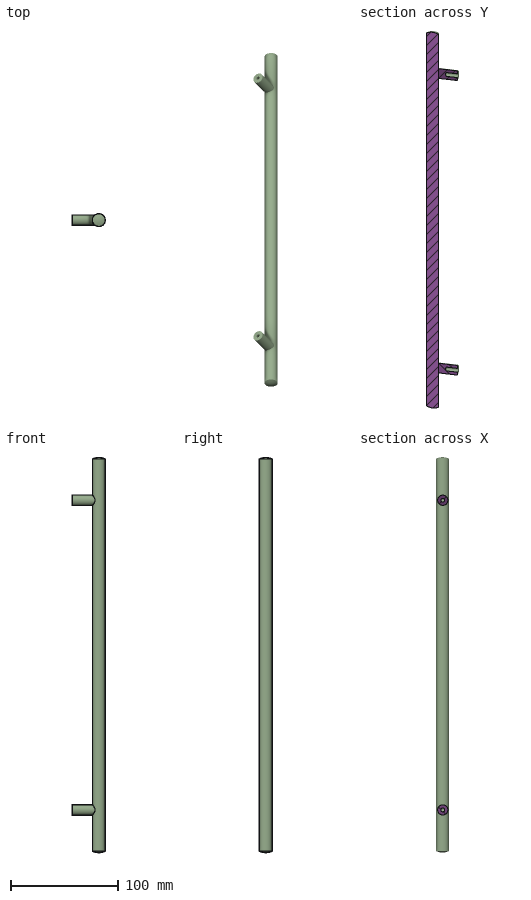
import cadquery as cq
import math

bar_length = 368.0
bar_diameter = 12.0
dome_height = 1.5

overall_depth = 31.0
post_diameter = 10.0
post_spacing = 288.0

screw_hole_diameter = 3.25
screw_hole_depth = 11.0
drill_point_angle = 118.0

bar_radius = bar_diameter / 2
mounting_face_x = bar_radius - overall_depth


def make_bar():
    """Round bar with a shallow spherical dome on each end."""
    tip_z = bar_length / 2
    shoulder_z = tip_z - dome_height
    dome_radius = (bar_radius**2 + dome_height**2) / (2 * dome_height)
    half_angle = math.asin(bar_radius / dome_radius) / 2
    arc_x = dome_radius * math.sin(half_angle)
    arc_z = tip_z - dome_radius * (1 - math.cos(half_angle))
    return (
        cq.Workplane("XZ")
        .moveTo(0, -tip_z)
        .threePointArc((arc_x, -arc_z), (bar_radius, -shoulder_z))
        .lineTo(bar_radius, shoulder_z)
        .threePointArc((arc_x, arc_z), (0, tip_z))
        .close()
        .revolve(360, (0, 0, 0), (0, 1, 0))
    )


def make_screw_hole(z):
    """Drilled hole with a conical bottom, as a cutting shape."""
    hole_radius = screw_hole_diameter / 2
    point_length = hole_radius / math.tan(math.radians(drill_point_angle / 2))
    wall_end_x = mounting_face_x + screw_hole_depth
    return (
        cq.Workplane("XZ")
        .moveTo(mounting_face_x, z)
        .lineTo(mounting_face_x, z + hole_radius)
        .lineTo(wall_end_x, z + hole_radius)
        .lineTo(wall_end_x + point_length, z)
        .close()
        .revolve(360, (mounting_face_x, z, 0), (wall_end_x, z, 0))
    )


def make_post(z, bar):
    """Post at height z, its inner end shaped to sit on the bar."""
    post = (
        cq.Workplane("YZ", origin=(mounting_face_x, 0, z))
        .circle(post_diameter / 2)
        .extrude(-mounting_face_x)
    )
    return post.cut(bar).cut(make_screw_hole(z))


bar = make_bar()
posts = [make_post(side * post_spacing / 2, bar) for side in (-1, 1)]

result = cq.Compound.makeCompound([bar.val(), *[post.val().Solids()[0] for post in posts]])